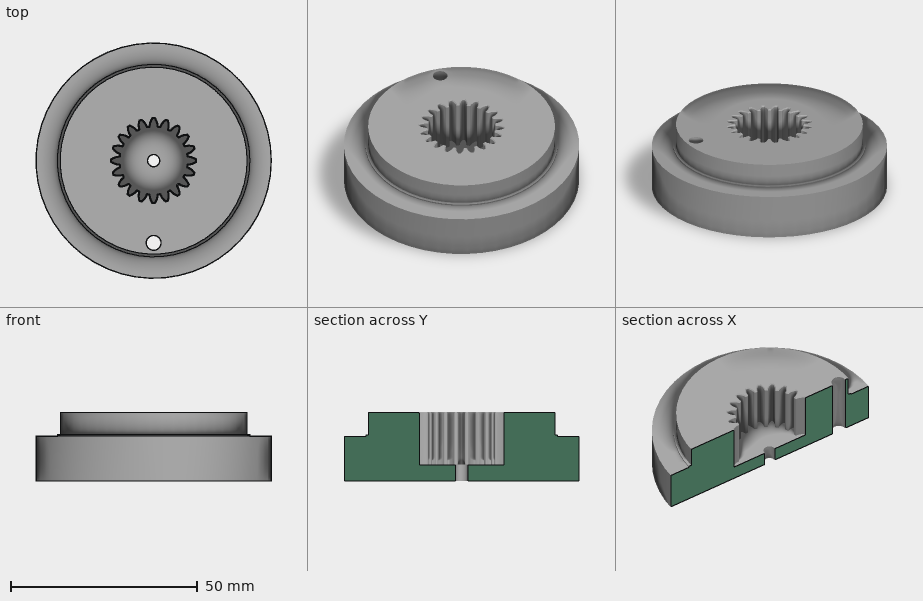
import cadquery as cq
import math

flange_diameter = 63.0
flange_height = 12.0
shoulder_diameter = 51.5
shoulder_height = 0.4
boss_diameter = 50.0
boss_height = 6.0
total_height = flange_height + shoulder_height + boss_height

center_hole_diameter = 3.2
side_hole_diameter = 3.9
side_hole_offset = 22.0

tooth_count = 20
gear_module = 1.0
pressure_angle = math.radians(20)
outward_tooth_ratio = 1.25
inward_tooth_ratio = 1.0
flank_clearance = 0.06
flank_points = 5
root_fillet = 0.3
rim_chamfer = 0.25
socket_depth = 14.0
socket_floor_height = total_height - socket_depth
pitch_radius = gear_module * tooth_count / 2
tip_radius = pitch_radius + outward_tooth_ratio * gear_module
root_radius = pitch_radius - inward_tooth_ratio * gear_module
base_radius = pitch_radius * math.cos(pressure_angle)
tooth_pitch = 2 * math.pi / tooth_count


def polar(radius, angle):
    return (radius * math.cos(angle), radius * math.sin(angle))


def involute_angle(radius):
    """Polar angle swept by the involute between the base circle and this radius."""
    roll = math.acos(base_radius / radius)
    return math.tan(roll) - roll


def half_tooth_angle(radius):
    """Angle from the tooth centerline to its flank; the flank is radial below the base circle."""
    pitch_half_angle = tooth_pitch / 4 + flank_clearance / pitch_radius
    flank_radius = max(radius, base_radius)
    return pitch_half_angle + involute_angle(pitch_radius) - involute_angle(flank_radius)


def root_fillet_points(flank_angle, side):
    """Fillet between a radial flank and the root circle: flank end, middle and root end.

    side is +1 when the rib lies counterclockwise of the flank and -1 when clockwise.
    """
    center_radius = root_radius + root_fillet
    sweep = math.asin(root_fillet / center_radius)
    center_x, center_y = polar(center_radius, flank_angle + side * sweep)
    middle_x, middle_y = polar(root_fillet, flank_angle + side * (sweep / 2 - 0.75 * math.pi))
    return (
        polar(center_radius * math.cos(sweep), flank_angle),
        (center_x + middle_x, center_y + middle_y),
        polar(root_radius, flank_angle + side * sweep),
    )


def gear_outline(plane_height):
    """Closed outline of the gear, with one tooth centered on +X."""
    radius_step = (tip_radius - base_radius) / (flank_points - 1)
    flank_radii = [base_radius + i * radius_step for i in range(flank_points)]
    half_root = half_tooth_angle(root_radius)
    first_point = root_fillet_points(-half_root, -1)[2]
    outline = cq.Workplane("XY", origin=(0, 0, plane_height)).moveTo(*first_point)
    for tooth in range(tooth_count):
        center = tooth * tooth_pitch
        rising = [polar(r, center - half_tooth_angle(r)) for r in flank_radii]
        falling = [polar(r, center + half_tooth_angle(r)) for r in reversed(flank_radii)]
        rising_top, rising_middle, _ = root_fillet_points(center - half_root, -1)
        falling_top, falling_middle, falling_root = root_fillet_points(center + half_root, 1)
        next_root = root_fillet_points(center + tooth_pitch - half_root, -1)[2]
        outline = (
            outline.threePointArc(rising_middle, rising_top)
            .lineTo(*rising[0])
            .spline(rising[1:], includeCurrent=True)
            .threePointArc(polar(tip_radius, center), falling[0])
            .spline(falling[1:], includeCurrent=True)
            .lineTo(*falling_top)
            .threePointArc(falling_middle, falling_root)
            .threePointArc(polar(root_radius, center + tooth_pitch / 2), next_root)
        )
    return outline.close()


def stepped_body():
    return (
        cq.Workplane("XY")
        .circle(flange_diameter / 2)
        .extrude(flange_height)
        .faces(">Z")
        .workplane()
        .circle(shoulder_diameter / 2)
        .extrude(shoulder_height)
        .faces(">Z")
        .workplane()
        .circle(boss_diameter / 2)
        .extrude(boss_height)
    )


def cut_gear_socket(body):
    """Cut the socket, then bevel its whole toothed rim."""
    socket = gear_outline(socket_floor_height).extrude(socket_depth)
    pocketed = body.cut(socket)
    top_face = pocketed.faces(">Z")
    rim_edges = top_face.newObject(top_face.val().innerWires()).edges()
    return rim_edges.chamfer(rim_chamfer)


def drill_through(body, diameter, x, y):
    drill = cq.Workplane("XY").center(x, y).circle(diameter / 2).extrude(total_height)
    return body.cut(drill)


result = cut_gear_socket(stepped_body())
result = drill_through(result, center_hole_diameter, 0, 0)
result = drill_through(result, side_hole_diameter, 0, -side_hole_offset)